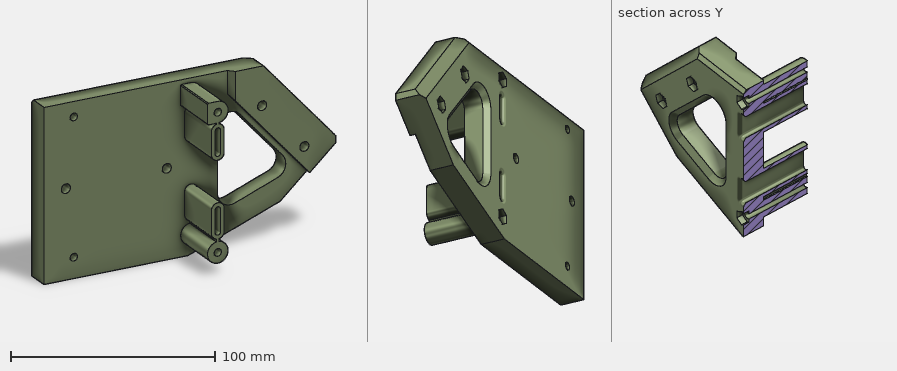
import cadquery as cq
import math

PLATE_THICKNESS = 13.0
PLATE_LENGTH = 160.34
PLATE_HEIGHT = 93.54
TOTAL_DEPTH = 40.8
UPRIGHT = 90.0
SHOULDER_Y = 120.2
TIP_TOP_Z = 49.0
TIP_BOTTOM_Z = 45.4
KNEE_Y, KNEE_Z = 131.0, 18.9
HEEL_Y = 79.8

TOP_CHAMFER = 2.0
SLOPE_CHAMFER = 5.0

STRIP_THICKNESS = 16.0
STRIP_WIDTH = 22.0
STRIP_RAMP = STRIP_THICKNESS - PLATE_THICKNESS
STRIP_START_Y = 101.7

WINDOW_CORNERS = [(93.4, 90.3), (93.4, 15.1), (144.3, 34.1)]
WINDOW_CORNER_RADIUS = 10.0
WINDOW_CHAMFER = 2.9
BEVEL_ANGLE = 45.0

MID_Z = 48.35
SCREW_SPACING_Y = 65.0
SCREW_SPACING_Z = 74.0
FRONT_SCREW_Y = 16.5
POST_Y = FRONT_SCREW_Y + SCREW_SPACING_Y
UPPER_SCREW_Z = MID_Z + SCREW_SPACING_Z / 2
LOWER_SCREW_Z = MID_Z - SCREW_SPACING_Z / 2
SCREW_DIAMETER = 4.0
PIVOT_DIAMETER = 5.0
PIVOT_YS = (12.1, 68.1)

NUT_ACROSS_FLATS = 7.3
NUT_CORNER_DIAMETER = NUT_ACROSS_FLATS / math.cos(math.pi / 6)
NUT_DEPTH = 3.6
SLOPE_NUT_SPACING = 35.0
SLOPE_NUT_INSET = 14.6
SLOPE_NUT_START = 10.0

POST_DIAMETER = 11.4
POST_RADIUS = POST_DIAMETER / 2
POST_CORNER_CHAMFER = 0.5
WEB_WIDTH = 1.5

SLOT_SPACING_Z = 41.6
SLOT_MID_Z = 48.75
SLOT_STRAIGHT = 12.1
SLOT_POST_WIDTH = 7.1
SLOT_MOUTH_RADIUS = 2.1
SLOT_WIDTH = SLOT_POST_WIDTH - 2 * SLOT_MOUTH_RADIUS

SLOPE_RUN = PLATE_LENGTH - SHOULDER_Y
SLOPE_RISE = PLATE_HEIGHT - TIP_TOP_Z
SLOPE_LENGTH = math.hypot(SLOPE_RUN, SLOPE_RISE)
SLOPE_DIRECTION = (-SLOPE_RUN / SLOPE_LENGTH, SLOPE_RISE / SLOPE_LENGTH)
SLOPE_ANGLE = math.degrees(math.atan2(SLOPE_DIRECTION[1], SLOPE_DIRECTION[0]))


def side_plane():
    """Sketch plane on the outside face, with local axes along Y and Z."""
    return cq.Workplane("YZ")


def along_slope(distance, inset):
    """Point at a distance from the tip along the sloping edge and inset square to it."""
    dir_y, dir_z = SLOPE_DIRECTION
    return (
        PLATE_LENGTH + distance * dir_y - inset * dir_z,
        TIP_TOP_Z + distance * dir_z + inset * dir_y,
    )


def plate_outline():
    return side_plane().polyline(
        [
            (0, 0),
            (0, PLATE_HEIGHT),
            (SHOULDER_Y, PLATE_HEIGHT),
            (PLATE_LENGTH, TIP_TOP_Z),
            (PLATE_LENGTH, TIP_BOTTOM_Z),
            (KNEE_Y, KNEE_Z),
            (HEEL_Y, 0),
        ]
    ).close()


def thick_strip():
    """Thicker band along the sloping edge, ending in a 45 degree ramp below the top edge."""
    band = side_plane().polyline(
        [
            along_slope(-SLOPE_LENGTH, 0),
            along_slope(2 * SLOPE_LENGTH, 0),
            along_slope(2 * SLOPE_LENGTH, STRIP_WIDTH),
            along_slope(-SLOPE_LENGTH, STRIP_WIDTH),
        ]
    ).close().extrude(STRIP_THICKNESS)
    ramped_block = cq.Workplane("XY").polyline(
        [
            (0, STRIP_START_Y),
            (PLATE_THICKNESS, STRIP_START_Y),
            (STRIP_THICKNESS, STRIP_START_Y + STRIP_RAMP),
            (STRIP_THICKNESS, PLATE_LENGTH),
            (0, PLATE_LENGTH),
        ]
    ).close().extrude(PLATE_HEIGHT)
    return plate_outline().extrude(STRIP_THICKNESS).intersect(band).intersect(ramped_block)


def plate():
    return plate_outline().extrude(PLATE_THICKNESS).union(thick_strip())


def edge_bevel(start, direction, length, size):
    """Cutter for a 45 degree bevel on an outside edge; overruns the edge by its size at both ends."""
    start_y = start[0] - size * direction[0]
    start_z = start[1] - size * direction[1]
    plane = cq.Plane(origin=(0, start_y, start_z), xDir=(1, 0, 0), normal=(0, *direction))
    triangle = [(0, 0), (size, 0), (0, -size)]
    return cq.Workplane(plane).polyline(triangle).close().extrude(length + 2 * size)


def window():
    """Rounded triangular opening, bevelled on the outside face."""
    mouth = (
        cq.Sketch()
        .polygon(WINDOW_CORNERS + WINDOW_CORNERS[:1])
        .vertices()
        .fillet(WINDOW_CORNER_RADIUS)
    )
    bevel = side_plane().placeSketch(mouth).extrude(WINDOW_CHAMFER, taper=BEVEL_ANGLE)
    return bevel.faces(">X").wires().toPending().extrude(STRIP_THICKNESS)


def cylinders(points, diameter):
    """Round bars along X at the given (y, z) points, as long as the whole part is deep."""
    return side_plane().pushPoints(points).circle(diameter / 2).extrude(TOTAL_DEPTH)


def cut_nut_pockets(body, points, corner_angle):
    """Cut hexagonal pockets into the outside face, one corner at corner_angle from the Y axis."""
    pocketed = body
    hexagon = side_plane().polygon(6, NUT_CORNER_DIAMETER).extrude(NUT_DEPTH)
    turned = hexagon.rotate((0, 0, 0), (1, 0, 0), corner_angle)
    for y, z in points:
        pocketed = pocketed.cut(turned.translate((0, y, z)))
    return pocketed


def half_square_post():
    """Upper post: round towards +Y, square with slightly broken corners towards -Y."""
    post = cylinders([(POST_Y, UPPER_SCREW_Z)], POST_DIAMETER)
    square_half = (
        side_plane()
        .center(POST_Y - POST_RADIUS / 2, UPPER_SCREW_Z)
        .rect(POST_RADIUS, POST_DIAMETER)
        .extrude(TOTAL_DEPTH)
        .edges("|X and <Y")
        .chamfer(POST_CORNER_CHAMFER)
    )
    return post.union(square_half)


def round_post():
    return cylinders([(POST_Y, LOWER_SCREW_Z)], POST_DIAMETER)


def post_web(screw_z, slot_z):
    """Wall that closes the narrow gap between a screw post and its slotted neighbour."""
    return (
        side_plane()
        .center(POST_Y, (screw_z + slot_z) / 2)
        .rect(WEB_WIDTH, abs(screw_z - slot_z))
        .extrude(TOTAL_DEPTH)
    )


def slot_prism(slot_z, width):
    """Upright round-ended bar of the given width, as long as the whole part is deep."""
    length = SLOT_STRAIGHT + width
    return side_plane().center(POST_Y, slot_z).slot2D(length, width, UPRIGHT).extrude(TOTAL_DEPTH)


def cut_slots(body, slot_zs):
    """Cut a slot through each slotted post and round its mouth out to the post's outline."""
    slotted = body
    for slot_z in slot_zs:
        slotted = slotted.cut(slot_prism(slot_z, SLOT_WIDTH))
    half_length = (SLOT_STRAIGHT + SLOT_POST_WIDTH) / 2
    mouth_region = cq.selectors.BoxSelector(
        (-SLOT_MOUTH_RADIUS, POST_Y - SLOT_POST_WIDTH / 2, min(slot_zs) - half_length),
        (SLOT_MOUTH_RADIUS, POST_Y + SLOT_POST_WIDTH / 2, max(slot_zs) + half_length),
    )
    return slotted.edges(mouth_region).fillet(SLOT_MOUTH_RADIUS)


upper_slot_z = SLOT_MID_Z + SLOT_SPACING_Z / 2
lower_slot_z = SLOT_MID_Z - SLOT_SPACING_Z / 2
post_screws = [(POST_Y, UPPER_SCREW_Z), (POST_Y, LOWER_SCREW_Z)]
front_screws = [(FRONT_SCREW_Y, UPPER_SCREW_Z), (FRONT_SCREW_Y, LOWER_SCREW_Z)]
pivots = [(y, MID_Z) for y in PIVOT_YS]
slope_nuts = [
    along_slope(SLOPE_NUT_START, SLOPE_NUT_INSET),
    along_slope(SLOPE_NUT_START + SLOPE_NUT_SPACING, SLOPE_NUT_INSET),
]

top_bevel = edge_bevel((PLATE_LENGTH, PLATE_HEIGHT), (-1, 0), PLATE_LENGTH, TOP_CHAMFER)
slope_bevel = edge_bevel((PLATE_LENGTH, TIP_TOP_Z), SLOPE_DIRECTION, SLOPE_LENGTH, SLOPE_CHAMFER)
result = plate().cut(top_bevel).cut(slope_bevel).cut(window())

result = result.union(half_square_post()).union(round_post())
for screw_z, slot_z in ((UPPER_SCREW_Z, upper_slot_z), (LOWER_SCREW_Z, lower_slot_z)):
    result = result.union(slot_prism(slot_z, SLOT_POST_WIDTH)).union(post_web(screw_z, slot_z))

result = cut_slots(result, (upper_slot_z, lower_slot_z))
result = result.cut(cylinders(post_screws + front_screws, SCREW_DIAMETER))
result = result.cut(cylinders(pivots + slope_nuts, PIVOT_DIAMETER))
result = cut_nut_pockets(result, post_screws, UPRIGHT)
result = cut_nut_pockets(result, slope_nuts, SLOPE_ANGLE)